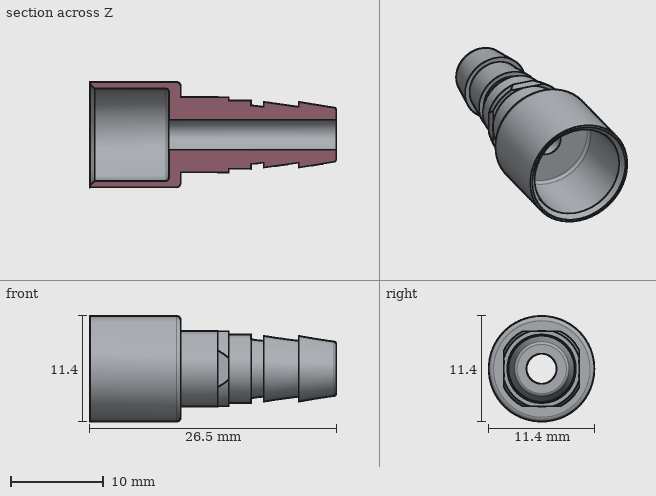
import cadquery as cq

length = 26.5

body_radius = 11.4 / 2
body_end = 9.78
body_edge_radius = 0.5

neck_radius = 8.15 / 2
neck_end = 13.75
collar_start_radius = 4.5
collar_end_radius = 4.21
collar_end = 14.95
across_flats = 8.1
shoulder_radius = 7.4 / 2
shoulder_end = 17.33

stem_start_radius = 3.18
stem_end_radius = 3.02
barb_radius = 3.55
first_barb_start = 18.68
second_barb_start = 22.45
tip_radius = 2.95
tip_edge_radius = 0.3

socket_radius = 9.9 / 2
socket_depth = 8.48
floor_edge_radius = 0.32
mouth_radius = 5.45
mouth_depth = mouth_radius - socket_radius
hole_radius = 3.2 / 2


def revolve_about_x(profile):
    """Turn a closed profile of (x, radius) points about the X axis."""
    return profile.close().revolve(360, (0, 0, 0), (1, 0, 0))


def make_outside():
    """Solid envelope of body, neck, shoulder and barbs."""
    profile = (
        cq.Workplane("XY")
        .lineTo(0, body_radius)
        .lineTo(body_end - body_edge_radius, body_radius)
        .radiusArc((body_end, body_radius - body_edge_radius), body_edge_radius)
        .lineTo(body_end, neck_radius)
        .lineTo(neck_end, neck_radius)
        .lineTo(neck_end, shoulder_radius)
        .lineTo(shoulder_end, shoulder_radius)
        .lineTo(shoulder_end, stem_start_radius)
        .lineTo(first_barb_start, stem_end_radius)
        .lineTo(first_barb_start, barb_radius)
        .lineTo(second_barb_start, stem_end_radius)
        .lineTo(second_barb_start, barb_radius)
        .lineTo(length - tip_edge_radius, tip_radius)
        .radiusArc((length, tip_radius - tip_edge_radius), tip_edge_radius)
        .lineTo(length, 0)
    )
    return revolve_about_x(profile)


def make_collar():
    """Tapered collar cut by square wrench flats facing Y and Z."""
    cone = revolve_about_x(
        cq.Workplane("XY")
        .moveTo(neck_end, 0)
        .lineTo(neck_end, collar_start_radius)
        .lineTo(collar_end, collar_end_radius)
        .lineTo(collar_end, 0)
    )
    flats = (
        cq.Workplane("YZ", origin=(neck_end, 0, 0))
        .rect(across_flats, across_flats)
        .extrude(collar_end - neck_end)
    )
    return cone.intersect(flats)


def make_bore():
    """Socket with a 45 degree mouth chamfer and rounded floor edge, plus the through hole."""
    profile = (
        cq.Workplane("XY")
        .lineTo(0, mouth_radius)
        .lineTo(mouth_depth, socket_radius)
        .lineTo(socket_depth - floor_edge_radius, socket_radius)
        .radiusArc((socket_depth, socket_radius - floor_edge_radius), floor_edge_radius)
        .lineTo(socket_depth, hole_radius)
        .lineTo(length, hole_radius)
        .lineTo(length, 0)
    )
    return revolve_about_x(profile)


result = make_outside().union(make_collar()).cut(make_bore())